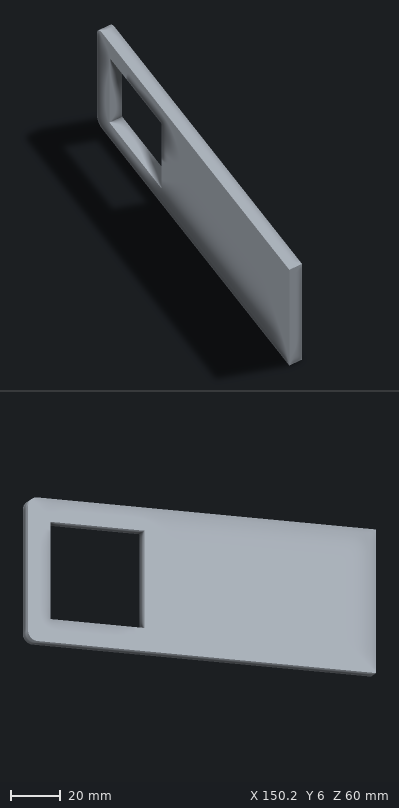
import cadquery as cq

length = 150.2
height = 60.0
thickness = 6.0
corner_radius = 4.0

window_size = 40.5
window_left_margin = 9.8
window_center_x = window_left_margin + (window_size - length) / 2

plate = cq.Workplane("XY").box(length, thickness, height)

plate = plate.edges("|Y and <X").fillet(corner_radius)

window = (
    cq.Workplane("XY")
    .box(window_size, thickness, window_size)
    .translate((window_center_x, 0, 0))
)

result = plate.cut(window)